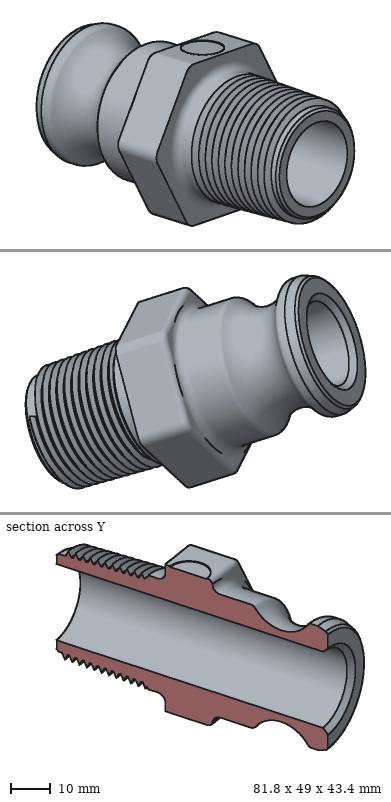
import cadquery as cq
import math

TOTAL_LENGTH = 81.8
HEX_START = 34.75
HEX_END = 49.1

BORE_DIAMETER = 22.3
BORE_CHAMFER = 1.55

RIM_DIAMETER = 36.7
BODY_DIAMETER = 36.5
NOSE_RADIUS = 17.5
NOSE_BEVEL = 0.65
NOSE_LENGTH = 3.1
RIM_END = 4.9
GROOVE_CENTER = 14.1
GROOVE_BOTTOM_RADIUS = 13.6
GROOVE_LIP_ROUND = 1.6
GROOVE_HALF_WIDTH = 7.9
FLARE_RADIUS = 2.2

HEX_ACROSS_FLATS = 43.35
HEX_CORNER_RADIUS = 3.35
HEX_EDGE_RADIUS = 1.6
BADGE_DIAMETER = 11.0
BADGE_DEPTH = 0.25

COLLAR_DIAMETER = 33.8
COLLAR_END = 54.05
COLLAR_BEVEL_LENGTH = 1.3
TAPER = 1 / 32
ROOT_END_RADIUS = 14.5
END_CHAMFER = 0.65
PITCH = 2.2
THREAD_START = 54.95
THREAD_TURNS = 11.2
THREAD_HEIGHT = 1.6
THREAD_BASE = 1.9
THREAD_OVERLAP = 0.1


def root_radius(x):
    return ROOT_END_RADIUS + TAPER * (TOTAL_LENGTH - END_CHAMFER - x)


def turned_body():
    """Solid of revolution about X carrying everything but the hexagon, thread and bore."""
    rim_radius = RIM_DIAMETER / 2
    body_radius = BODY_DIAMETER / 2
    collar_radius = COLLAR_DIAMETER / 2

    groove_start = GROOVE_CENTER - GROOVE_HALF_WIDTH
    groove_end = GROOVE_CENTER + GROOVE_HALF_WIDTH
    lip_run = groove_start - RIM_END
    lip_drop = GROOVE_LIP_ROUND - math.sqrt(GROOVE_LIP_ROUND**2 - lip_run**2)

    root_start = COLLAR_END + COLLAR_BEVEL_LENGTH
    root_end = TOTAL_LENGTH - END_CHAMFER
    profile = (
        cq.Workplane("XY")
        .lineTo(0, NOSE_RADIUS - NOSE_BEVEL)
        .lineTo(NOSE_BEVEL, NOSE_RADIUS)
        .lineTo(NOSE_LENGTH, rim_radius)
        .lineTo(RIM_END, rim_radius)
        .radiusArc((groove_start, rim_radius - lip_drop), GROOVE_LIP_ROUND)
        .threePointArc((GROOVE_CENTER, GROOVE_BOTTOM_RADIUS), (groove_end, body_radius - lip_drop))
        .radiusArc((groove_end + lip_run, body_radius), GROOVE_LIP_ROUND)
        .lineTo(HEX_START - FLARE_RADIUS, body_radius)
        .radiusArc((HEX_START, body_radius + FLARE_RADIUS), -FLARE_RADIUS)
        .lineTo(HEX_END, collar_radius + FLARE_RADIUS)
        .radiusArc((HEX_END + FLARE_RADIUS, collar_radius), -FLARE_RADIUS)
        .lineTo(COLLAR_END, collar_radius)
        .lineTo(root_start, root_radius(root_start))
        .lineTo(root_end, ROOT_END_RADIUS)
        .lineTo(TOTAL_LENGTH, ROOT_END_RADIUS - END_CHAMFER)
        .lineTo(TOTAL_LENGTH, 0)
        .close()
    )
    return profile.revolve(360, (0, 0, 0), (1, 0, 0))


def hexagon():
    """Wrench hexagon with flats facing up and down and its coupling-side edge rounded."""
    across_corners = HEX_ACROSS_FLATS / math.cos(math.pi / 6)
    return (
        cq.Workplane("YZ", origin=(HEX_START, 0, 0))
        .polygon(6, across_corners)
        .extrude(HEX_END - HEX_START)
        .edges("|X")
        .fillet(HEX_CORNER_RADIUS)
        .faces("<X")
        .edges()
        .fillet(HEX_EDGE_RADIUS)
    )


def badge_recess():
    center_x = (HEX_START + HEX_END) / 2
    flat_height = HEX_ACROSS_FLATS / 2
    return (
        cq.Workplane("XY", origin=(center_x, 0, flat_height))
        .circle(BADGE_DIAMETER / 2)
        .extrude(-BADGE_DEPTH)
    )


def thread():
    """Right-handed tapered V ridge, swept along Z and then turned onto X."""
    start_radius = root_radius(THREAD_START)
    taper_angle = math.degrees(math.atan(TAPER))
    helix = cq.Wire.makeHelix(PITCH, THREAD_TURNS * PITCH, start_radius, angle=-taper_angle)
    ridge = (
        cq.Workplane("XZ")
        .moveTo(start_radius - THREAD_OVERLAP, -THREAD_BASE / 2)
        .lineTo(start_radius + THREAD_HEIGHT, 0)
        .lineTo(start_radius - THREAD_OVERLAP, THREAD_BASE / 2)
        .close()
        .sweep(cq.Workplane(helix), isFrenet=True)
    )
    return ridge.rotate((0, 0, 0), (0, 1, 0), 90).translate((THREAD_START, 0, 0))


def bore():
    """Through hole with a chamfered mouth at the coupling end."""
    bore_radius = BORE_DIAMETER / 2
    mouth_radius = bore_radius + BORE_CHAMFER
    profile = (
        cq.Workplane("XY")
        .lineTo(0, mouth_radius)
        .lineTo(BORE_CHAMFER, bore_radius)
        .lineTo(TOTAL_LENGTH, bore_radius)
        .lineTo(TOTAL_LENGTH, 0)
        .close()
    )
    return profile.revolve(360, (0, 0, 0), (1, 0, 0))


body = turned_body().union(hexagon()).cut(badge_recess())
result = body.union(thread()).cut(bore())